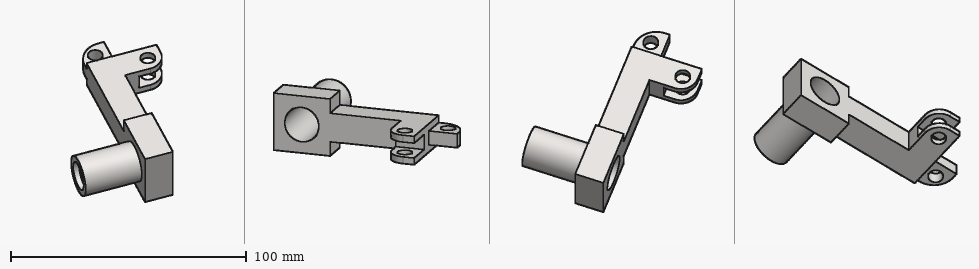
import cadquery as cq

module = 82.55 / 13
bar_size = 2 * module
total_length = 13 * module
block_size = 4 * module
tube_length = 4 * module
tube_diameter = 17.75
bore_diameter = 12.4
chamber_diameter = 15.3
lip_length = 2.6
pin_diameter = 6.35
tongue_length = bar_size
tongue_thickness = 6.2
tongue_radius = 10.2
clevis_reach = 3 * module
clevis_radius = 7.6
slot_width = 6.6
slot_depth = 2 * module
pin_edge_distance = module

arm_right = total_length - block_size
clevis_right = tongue_length + bar_size
clevis_end = bar_size + clevis_reach
block_center_x = total_length - block_size / 2


def box(x_start, x_end, y_start, y_end, height):
    """Box between the given X and Y limits, centred on mid-height."""
    length = x_end - x_start
    depth = y_end - y_start
    center = ((x_start + x_end) / 2, (y_start + y_end) / 2, 0)
    return cq.Workplane("XY").box(length, depth, height).translate(center)


def front_cylinder(diameter, y_back, y_front):
    """Cylinder on the block axis, running from y_back toward -Y to y_front."""
    plane = cq.Workplane("XZ", origin=(block_center_x, y_back, 0))
    return plane.circle(diameter / 2).extrude(y_back - y_front)


def pin_hole(x, y):
    """Vertical pin cutter through the full arm height."""
    return cq.Workplane("XY").center(x, y).circle(pin_diameter / 2).extrude(bar_size / 2, both=True)


arm = box(tongue_length, arm_right, 0, bar_size, bar_size)
block = box(arm_right, total_length, 0, bar_size, block_size)
tube = front_cylinder(tube_diameter, 0, -tube_length)
bore = front_cylinder(bore_diameter, bar_size, -tube_length)
chamber = front_cylinder(chamber_diameter, bar_size, lip_length - tube_length)

tongue = box(0, tongue_length, 0, bar_size, tongue_thickness)
tongue = tongue.edges("|Z and <X and <Y").fillet(tongue_radius)
tongue = tongue.cut(pin_hole(pin_edge_distance, bar_size - pin_edge_distance))

clevis = box(tongue_length, clevis_right, bar_size, clevis_end, bar_size)
clevis = clevis.edges("|Z and >X and >Y").fillet(clevis_radius)
slot = box(tongue_length, clevis_right, clevis_end - slot_depth, clevis_end, slot_width)
clevis = clevis.cut(slot)
clevis = clevis.cut(pin_hole(tongue_length + pin_edge_distance, clevis_end - pin_edge_distance))

result = arm.union(block).union(tube).union(tongue).union(clevis).cut(bore).cut(chamber)